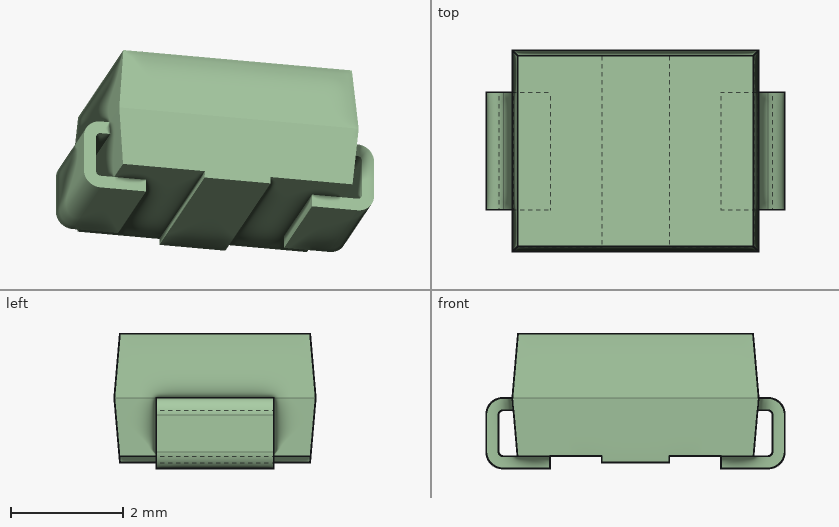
import cadquery as cq
import math

overall_length = 5.33
overall_height = 2.41

body_length = 4.395
body_width = 3.6
draft_angle = 5.0
parting_z = 1.265

lead_width = 2.1
lead_thickness = 0.225
lead_arm_length = 1.14
bend_radius = 0.305

pad_length = 1.21
pad_z = 0.105

underside_z = lead_thickness
relief_length = (body_length - pad_length) / 2
inner_bend_radius = bend_radius - lead_thickness


def drafted_block(height):
    """Block growing from the parting plane, narrowing away from it; negative height grows down."""
    inset = 2 * abs(height) * math.tan(math.radians(draft_angle))
    return (
        cq.Workplane("XY", origin=(0, 0, parting_z))
        .rect(body_length, body_width)
        .workplane(offset=height)
        .rect(body_length - inset, body_width - inset)
        .loft(ruled=True)
    )


def make_body():
    """Moulded body: two drafted halves, with the underside cut back beside the centre strip."""
    body = drafted_block(overall_height - parting_z).union(drafted_block(pad_z - parting_z))
    for side in (-1, 1):
        relief = cq.Workplane("XY", origin=(side * (pad_length + relief_length) / 2, 0, 0)).box(
            relief_length, body_width, underside_z, centered=(True, True, False)
        )
        body = body.cut(relief)
    return body


def make_left_lead():
    """C-shaped lead: out of the body at the parting plane, down, and back under it."""
    outer_x = -overall_length / 2
    loop = (
        cq.Workplane("XY", origin=(outer_x, 0, 0))
        .box(lead_arm_length, lead_width, parting_z, centered=(False, True, False))
        .edges("|Y and <X")
        .fillet(bend_radius)
    )
    opening = (
        cq.Workplane("XY", origin=(outer_x + lead_thickness, 0, lead_thickness))
        .box(lead_arm_length, lead_width, parting_z - 2 * lead_thickness, centered=(False, True, False))
        .edges("|Y and <X")
        .fillet(inner_bend_radius)
    )
    return loop.cut(opening)


left_lead = make_left_lead()
result = make_body().union(left_lead).union(left_lead.mirror("YZ"))